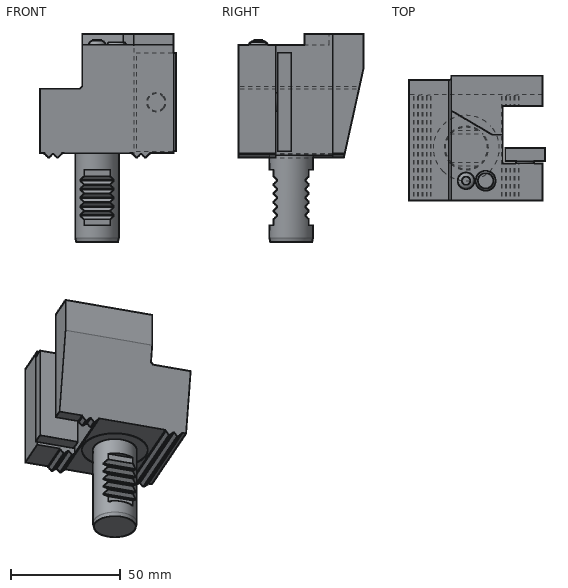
import cadquery as cq
import math


TOTAL_HEIGHT = 95

BLOCK_LEFT = -26.0
BLOCK_RIGHT = 35.0
BLOCK_FRONT = -24.0
BLOCK_BACK = 33.0
BLOCK_HEIGHT = 54.3
STEP_X = -6.8
STEP_HEIGHT = 29.4
STEP_CHAMFER = 1.0
TAPER_DROP = 16.0

FLOOR_DEPTH = 5.0
FLOOR_Z = BLOCK_HEIGHT - FLOOR_DEPTH
LEDGE_Y = 6.0
LEDGE_CORNER_X = 12.0
LEDGE_SLOPE_END_Y = 17.0

SLOT_LEFT = 16.8
SLOT_FRONT = -7.0
SLOT_BACK = 19.0

PLATE_LENGTH = 18.2
PLATE_THICKNESS = 6.1
PLATE_OVERHANG = 1.0
PLATE_RIGHT = BLOCK_RIGHT + PLATE_OVERHANG
PLATE_BACK = 0.0
PLATE_BOTTOM = 0.9
PLATE_TOP = 45.7
PIN_WALL_RADIUS = 4.4
PIN_PLATE_RADIUS = 4.0

SERRATION_DEPTH = 1.6
SERRATION_FLAT = 0.4
SERRATION_PITCH = 2 * (SERRATION_DEPTH + SERRATION_FLAT)

TOOTH_DEPTH = 2.1
TOOTH_VALLEY_Z = SERRATION_DEPTH - TOOTH_DEPTH
TEETH_CENTER_X = 20.0
TEETH_BACK = -BLOCK_FRONT
TOOTH_OVERLAP = 0.95

SHANK_DIAMETER = 20.0
SHANK_RADIUS = SHANK_DIAMETER / 2
SHANK_LENGTH = TOTAL_HEIGHT - BLOCK_HEIGHT
SHANK_TAPER_LENGTH = 2.0
SHANK_TAPER_INSET = 0.5
COLLAR_RADIUS = 15.0
COLLAR_HEIGHT = 0.2
FLAT_Y = 8.1
FLAT_TOP = -7.7
FLAT_BOTTOM = -32.9
GROOVE_COUNT = 5
FIRST_GROOVE_Z = -12.4

BUTTON_Y = -15.0
NIPPLE_X = 0
NIPPLE_RADIUS = 3.8
NIPPLE_TIP_RADIUS = 1.9
NIPPLE_ROUND = NIPPLE_RADIUS - NIPPLE_TIP_RADIUS
NIPPLE_HEIGHT = 2.3
DOME_X = 8.9
DOME_BASE_RADIUS = 4.6
DOME_TOP_RADIUS = 3.5
DOME_HEIGHT = 1.3
DOME_SPHERE_RADIUS = 5.3


def box(x0, x1, y0, y1, z0, z1):
    """Box between two opposite corners."""
    return cq.Workplane("XY").box(x1 - x0, y1 - y0, z1 - z0, centered=False).translate((x0, y0, z0))


def extrude_along_y(points, y0, y1):
    """Prism with an X-Z outline running from y0 to y1."""
    return cq.Workplane("XZ", origin=(0, y0, 0)).polyline(points).close().extrude(y0 - y1)


def tooth_pair(center_x):
    """Two flat-tipped ribs side by side on a low base below the block."""
    half_flat = SERRATION_FLAT / 2
    outline = [(center_x - SERRATION_PITCH, TOOTH_OVERLAP)]
    outline.append((center_x - SERRATION_PITCH, TOOTH_VALLEY_Z))
    for tip_x in (center_x - SERRATION_PITCH / 2, center_x + SERRATION_PITCH / 2):
        outline.append((tip_x - half_flat - SERRATION_DEPTH, TOOTH_VALLEY_Z))
        outline.append((tip_x - half_flat, -TOOTH_DEPTH))
        outline.append((tip_x + half_flat, -TOOTH_DEPTH))
        outline.append((tip_x + half_flat + SERRATION_DEPTH, TOOTH_VALLEY_Z))
    outline.append((center_x + SERRATION_PITCH, TOOTH_VALLEY_Z))
    outline.append((center_x + SERRATION_PITCH, TOOTH_OVERLAP))
    return extrude_along_y(outline, BLOCK_FRONT, BLOCK_BACK)


def make_block():
    """Stepped block with serrations, tapered back, lowered top area and slot."""
    outline = [
        (BLOCK_LEFT, 0),
        (BLOCK_RIGHT, 0),
        (BLOCK_RIGHT, BLOCK_HEIGHT),
        (STEP_X, BLOCK_HEIGHT),
        (STEP_X, STEP_HEIGHT + STEP_CHAMFER),
        (STEP_X - STEP_CHAMFER, STEP_HEIGHT),
        (BLOCK_LEFT, STEP_HEIGHT),
    ]
    block = extrude_along_y(outline, BLOCK_FRONT, BLOCK_BACK)
    for center_x in (-TEETH_CENTER_X, TEETH_CENTER_X):
        block = block.union(tooth_pair(center_x))

    back_wedge = (
        cq.Workplane("YZ", origin=(BLOCK_LEFT, 0, 0))
        .moveTo(BLOCK_BACK, BLOCK_HEIGHT - TAPER_DROP)
        .lineTo(TEETH_BACK, -TOOTH_DEPTH)
        .lineTo(BLOCK_BACK, -TOOTH_DEPTH)
        .close()
        .extrude(BLOCK_RIGHT - BLOCK_LEFT)
    )
    lowered_area = (
        cq.Workplane("XY", origin=(0, 0, FLOOR_Z))
        .moveTo(STEP_X, BLOCK_FRONT)
        .lineTo(BLOCK_RIGHT, BLOCK_FRONT)
        .lineTo(BLOCK_RIGHT, LEDGE_Y)
        .lineTo(LEDGE_CORNER_X, LEDGE_Y)
        .lineTo(STEP_X, LEDGE_SLOPE_END_Y)
        .close()
        .extrude(BLOCK_HEIGHT - FLOOR_Z)
    )
    slot = box(SLOT_LEFT, BLOCK_RIGHT, SLOT_FRONT, SLOT_BACK, -TOOTH_DEPTH, BLOCK_HEIGHT)
    return block.cut(back_wedge).cut(lowered_area).cut(slot)


def make_clamp():
    """Clamping plate with the tapered pin that joins it to the slot wall."""
    plate_left = PLATE_RIGHT - PLATE_LENGTH
    plate_front = PLATE_BACK - PLATE_THICKNESS
    plate = box(plate_left, PLATE_RIGHT, plate_front, PLATE_BACK, PLATE_BOTTOM, PLATE_TOP)
    pin_base = cq.Vector(PLATE_RIGHT - PLATE_LENGTH / 2, SLOT_FRONT, (PLATE_BOTTOM + PLATE_TOP) / 2)
    pin = cq.Solid.makeCone(
        PIN_WALL_RADIUS, PIN_PLATE_RADIUS, plate_front - SLOT_FRONT, pin_base, cq.Vector(0, 1, 0)
    )
    return plate.union(cq.Workplane(pin))


def flat_cutter(side):
    """Tool for the toothed flat on the side of the shank given by the sign of Y."""
    outside = side * SHANK_RADIUS * 2
    flat = side * FLAT_Y
    half_root = SERRATION_FLAT / 2
    half_mouth = half_root + SERRATION_DEPTH
    root = side * (FLAT_Y - SERRATION_DEPTH)
    cutter = cq.Workplane("YZ").moveTo(outside, FLAT_TOP).lineTo(flat, FLAT_TOP)
    for index in range(GROOVE_COUNT):
        groove_z = FIRST_GROOVE_Z - index * SERRATION_PITCH
        cutter = cutter.lineTo(flat, groove_z + half_mouth)
        cutter = cutter.lineTo(root, groove_z + half_root)
        cutter = cutter.lineTo(root, groove_z - half_root)
        cutter = cutter.lineTo(flat, groove_z - half_mouth)
    cutter = cutter.lineTo(flat, FLAT_BOTTOM).lineTo(outside, FLAT_BOTTOM).close()
    return cutter.extrude(SHANK_RADIUS, both=True)


def make_shank():
    """Round shank with a tapered end, a thin collar and two toothed flats."""
    shank = (
        cq.Workplane("XZ")
        .moveTo(0, 0)
        .lineTo(COLLAR_RADIUS, 0)
        .lineTo(COLLAR_RADIUS, -COLLAR_HEIGHT)
        .lineTo(SHANK_RADIUS, -COLLAR_HEIGHT)
        .lineTo(SHANK_RADIUS, -SHANK_LENGTH + SHANK_TAPER_LENGTH)
        .lineTo(SHANK_RADIUS - SHANK_TAPER_INSET, -SHANK_LENGTH)
        .lineTo(0, -SHANK_LENGTH)
        .close()
        .revolve(360, (0, 0), (0, 1))
    )
    for side in (-1, 1):
        shank = shank.cut(flat_cutter(side))
    return shank


def make_nipple():
    """Small rounded button ending in a small raised flat."""
    diagonal = NIPPLE_ROUND * math.sqrt(0.5)
    return (
        cq.Workplane("XZ", origin=(NIPPLE_X, BUTTON_Y, FLOOR_Z))
        .moveTo(0, 0)
        .lineTo(NIPPLE_RADIUS, 0)
        .threePointArc((NIPPLE_TIP_RADIUS + diagonal, diagonal), (NIPPLE_TIP_RADIUS, NIPPLE_ROUND))
        .lineTo(NIPPLE_TIP_RADIUS, NIPPLE_HEIGHT)
        .lineTo(0, NIPPLE_HEIGHT)
        .close()
        .revolve(360, (0, 0), (0, 1))
    )


def make_dome():
    """Larger button: a slice of a sphere with a flat top."""
    return (
        cq.Workplane("XZ", origin=(DOME_X, BUTTON_Y, FLOOR_Z))
        .moveTo(0, 0)
        .lineTo(DOME_BASE_RADIUS, 0)
        .radiusArc((DOME_TOP_RADIUS, DOME_HEIGHT), -DOME_SPHERE_RADIUS)
        .lineTo(0, DOME_HEIGHT)
        .close()
        .revolve(360, (0, 0), (0, 1))
    )


result = make_block()
for feature in (make_clamp(), make_shank(), make_nipple(), make_dome()):
    result = result.union(feature)